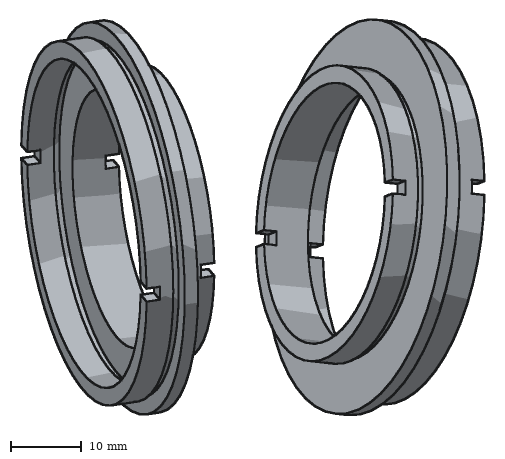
import cadquery as cq

flange_diameter = 56.0
front_diameter = 52.0
rear_diameter = 42.0
recess_diameter = 47.0
bore_diameter = 37.0
relief_depth = 0.5

total_length = 12.0
flange_thickness = total_length / 6
relief_width = flange_thickness / 2
collar_length = (total_length - flange_thickness - 2 * relief_width) / 2
recess_depth = collar_length + relief_width

slot_width = flange_thickness
slot_depth = flange_thickness


def disc(diameter, start, length):
    """Solid cylinder along +Y beginning at Y = start."""
    plane = cq.Workplane("XZ", origin=(0, start, 0))
    return plane.circle(diameter / 2).extrude(-length)


def slot(start):
    """Slot cutter spanning the full diameter along X."""
    cutter = cq.Workplane("XY").box(
        flange_diameter, slot_depth, slot_width, centered=(True, False, True)
    )
    return cutter.translate((0, start, 0))


sections = [
    (front_diameter, collar_length),
    (front_diameter - 2 * relief_depth, relief_width),
    (flange_diameter, flange_thickness),
    (rear_diameter - 2 * relief_depth, relief_width),
    (rear_diameter, collar_length),
]
body = cq.Workplane("XY")
position = 0
for diameter, length in sections:
    body = body.union(disc(diameter, position, length))
    position += length

body = body.cut(disc(bore_diameter, 0, total_length))
body = body.cut(disc(recess_diameter, 0, recess_depth))
undercut_diameter = recess_diameter + 2 * relief_depth
body = body.cut(disc(undercut_diameter, recess_depth - relief_width, relief_width))

for slot_start in (0, total_length - slot_depth):
    body = body.cut(slot(slot_start))

result = body